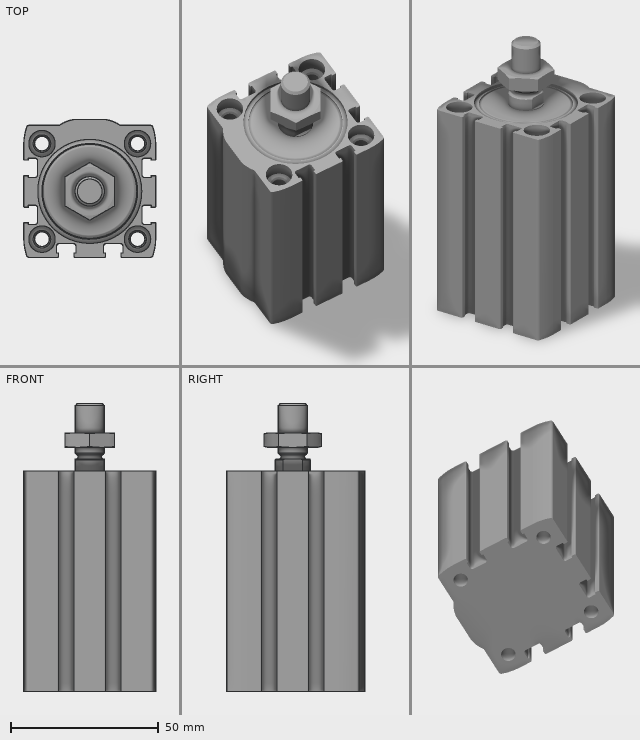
import cadquery as cq
import math

HOUSING_WIDTH = 45.0
HOUSING_HEIGHT = 75.0
HALF_WIDTH = HOUSING_WIDTH / 2
SIDE_FLAT_HALF = 15.6
SIDE_ARC_RADIUS = 20.0
CORNER_RADIUS = 1.0

HUMP_RISE = 2.0
HUMP_FLAT_HALF = 5.3
HUMP_BASE_HALF = 10.4
HUMP_BULGE = 0.3

SLOT_OFFSET = 8.0
SLOT_MOUTH_WIDTH = 5.2
SLOT_LIP_DEPTH = 1.6
SLOT_INNER_WIDTH = 6.5
SLOT_DEPTH = 4.7
SLOT_CORNER_RADIUS = 0.8
SLOT_EDGE_RADIUS = 0.4

HOLE_PITCH = 32.5
HOLE_DIAMETER = 4.92
COUNTERBORE_DIAMETER = 9.0
COUNTERBORE_DEPTH = 5.4
HOLE_CHAMFER_DIAMETER = 6.0

RECESS_DIAMETER = 35.4
RECESS_DEPTH = 1.2
LIP_DIAMETER = 32.6
COVER_DIAMETER = 32.0
COVER_DROP = 0.35
COVER_CHAMFER_WIDTH = 0.9
COVER_CHAMFER_HEIGHT = 0.6
COVER_EDGE_RADIUS = 0.5

ROD_DIAMETER = 12.0
ROD_FLATS = 10.0
ROD_SHOULDER = 4.1
ROD_CHAMFER = 0.3
NECK_DIAMETER = 8.1
NECK_LENGTH = 1.3
NECK_ROOT_RADIUS = 0.6
THREAD_DIAMETER = 10.0
THREAD_TIP_DIAMETER = 8.38
THREAD_RUNOUT_DIAMETER = 8.65
ROD_EXTENSION = 23.0
ROD_DEPTH = 20.0

NUT_SIDES = 6
NUT_FLATS = 17.0
NUT_HEIGHT = 5.0
NUT_TOP_GAP = 10.0
NUT_CHAMFER_DIAMETER = 16.6
NUT_CHAMFER_ANGLE = 13.0

TOP = HOUSING_HEIGHT


def housing_outline():
    side_drop = SIDE_ARC_RADIUS - math.sqrt(SIDE_ARC_RADIUS**2 - (HALF_WIDTH - SIDE_FLAT_HALF) ** 2)
    corner_x = HALF_WIDTH - side_drop

    half_angle = math.asin((HALF_WIDTH - SIDE_FLAT_HALF) / SIDE_ARC_RADIUS) / 2
    middle_x = HALF_WIDTH - SIDE_ARC_RADIUS * (1 - math.cos(half_angle))
    middle_y = SIDE_FLAT_HALF + SIDE_ARC_RADIUS * math.sin(half_angle)

    block = (
        cq.Workplane("XY")
        .moveTo(-corner_x, -HALF_WIDTH)
        .lineTo(corner_x, -HALF_WIDTH)
        .threePointArc((middle_x, -middle_y), (HALF_WIDTH, -SIDE_FLAT_HALF))
        .lineTo(HALF_WIDTH, SIDE_FLAT_HALF)
        .threePointArc((middle_x, middle_y), (corner_x, HALF_WIDTH))
        .lineTo(-corner_x, HALF_WIDTH)
        .threePointArc((-middle_x, middle_y), (-HALF_WIDTH, SIDE_FLAT_HALF))
        .lineTo(-HALF_WIDTH, -SIDE_FLAT_HALF)
        .threePointArc((-middle_x, -middle_y), (-corner_x, -HALF_WIDTH))
        .close()
        .extrude(HOUSING_HEIGHT)
    )
    return block.edges("|Z and (>Y or <Y)").fillet(CORNER_RADIUS)


def hump():
    hump_top = HALF_WIDTH + HUMP_RISE
    return (
        cq.Workplane("XY")
        .moveTo(-HUMP_BASE_HALF, HALF_WIDTH)
        .sagittaArc((-HUMP_FLAT_HALF, hump_top), HUMP_BULGE)
        .lineTo(HUMP_FLAT_HALF, hump_top)
        .sagittaArc((HUMP_BASE_HALF, HALF_WIDTH), HUMP_BULGE)
        .close()
        .extrude(HOUSING_HEIGHT)
    )


def slot(offset):
    """T-slot in the -Y side, at the given X offset."""
    floor_y = SLOT_DEPTH - HALF_WIDTH
    inner_length = SLOT_DEPTH - SLOT_LIP_DEPTH
    channel = (
        cq.Workplane("XY")
        .center(offset, floor_y - inner_length / 2)
        .rect(SLOT_INNER_WIDTH, inner_length)
        .extrude(HOUSING_HEIGHT)
        .edges("|Z and >Y")
        .fillet(SLOT_CORNER_RADIUS)
    )
    half_mouth = SLOT_MOUTH_WIDTH / 2
    edge = SLOT_EDGE_RADIUS
    mouth = (
        cq.Workplane("XY", origin=(offset, 0, 0))
        .moveTo(-half_mouth, floor_y)
        .lineTo(half_mouth, floor_y)
        .lineTo(half_mouth, edge - HALF_WIDTH)
        .radiusArc((half_mouth + edge, -HALF_WIDTH), -edge)
        .lineTo(-half_mouth - edge, -HALF_WIDTH)
        .radiusArc((-half_mouth, edge - HALF_WIDTH), -edge)
        .close()
        .extrude(HOUSING_HEIGHT)
    )
    return channel.union(mouth)


def mounting_hole():
    hole_radius = HOLE_DIAMETER / 2
    chamfer_radius = HOLE_CHAMFER_DIAMETER / 2
    seat = TOP - COUNTERBORE_DEPTH
    return (
        cq.Workplane("XZ")
        .polyline(
            [
                (0, 0),
                (hole_radius, 0),
                (hole_radius, seat - (chamfer_radius - hole_radius)),
                (chamfer_radius, seat),
                (COUNTERBORE_DIAMETER / 2, seat),
                (COUNTERBORE_DIAMETER / 2, TOP),
                (0, TOP),
            ]
        )
        .close()
        .revolve(360, (0, 0), (0, 1))
    )


def cover_recess():
    recess_radius = RECESS_DIAMETER / 2
    lip_radius = LIP_DIAMETER / 2
    cover_radius = COVER_DIAMETER / 2
    face = TOP - COVER_DROP
    groove_bottom = face - COVER_CHAMFER_HEIGHT
    pocket = (
        cq.Workplane("XZ")
        .polyline(
            [
                (0, groove_bottom),
                (cover_radius, groove_bottom),
                (cover_radius, face),
                (lip_radius, face),
                (recess_radius, TOP - RECESS_DEPTH),
                (recess_radius, TOP),
                (0, TOP),
            ]
        )
        .close()
        .revolve(360, (0, 0), (0, 1))
    )
    cover = (
        cq.Workplane("XY")
        .circle(cover_radius)
        .extrude(face)
        .edges(">Z")
        .chamfer(COVER_CHAMFER_HEIGHT, COVER_CHAMFER_WIDTH)
        .edges(">Z")
        .fillet(COVER_EDGE_RADIUS)
    )
    return pocket.cut(cover)


def make_housing():
    housing = housing_outline().union(hump())
    for side_angle in (-90, 0, 90):
        for offset in (-SLOT_OFFSET, SLOT_OFFSET):
            housing = housing.cut(slot(offset).rotate((0, 0, 0), (0, 0, 1), side_angle))
    hole = mounting_hole()
    for x in (-HOLE_PITCH / 2, HOLE_PITCH / 2):
        for y in (-HOLE_PITCH / 2, HOLE_PITCH / 2):
            housing = housing.cut(hole.translate((x, y, 0)))
    rod_bore = (
        cq.Workplane("XY", origin=(0, 0, TOP - ROD_DEPTH))
        .circle(ROD_DIAMETER / 2)
        .extrude(ROD_DEPTH)
    )
    return housing.cut(cover_recess()).cut(rod_bore)


def make_rod():
    rod_radius = ROD_DIAMETER / 2
    neck_radius = NECK_DIAMETER / 2
    runout_radius = THREAD_RUNOUT_DIAMETER / 2
    runout_fillet = runout_radius - neck_radius
    thread_radius = THREAD_DIAMETER / 2
    tip_chamfer = thread_radius - THREAD_TIP_DIAMETER / 2
    shoulder = TOP + ROD_SHOULDER
    neck_top = shoulder + NECK_LENGTH
    tip = TOP + ROD_EXTENSION
    rod = (
        cq.Workplane("XZ")
        .moveTo(0, TOP - ROD_DEPTH)
        .lineTo(rod_radius, TOP - ROD_DEPTH)
        .lineTo(rod_radius, shoulder - ROD_CHAMFER)
        .lineTo(rod_radius - ROD_CHAMFER, shoulder)
        .lineTo(neck_radius + NECK_ROOT_RADIUS, shoulder)
        .radiusArc((neck_radius, shoulder + NECK_ROOT_RADIUS), NECK_ROOT_RADIUS)
        .lineTo(neck_radius, neck_top - runout_fillet)
        .radiusArc((runout_radius, neck_top), runout_fillet)
        .lineTo(thread_radius, neck_top + thread_radius - runout_radius)
        .lineTo(thread_radius, tip - tip_chamfer)
        .lineTo(thread_radius - tip_chamfer, tip)
        .lineTo(0, tip)
        .close()
        .revolve(360, (0, 0), (0, 1))
    )
    flat_depth = (ROD_DIAMETER - ROD_FLATS) / 2
    for side in (-1, 1):
        flat_x = side * (ROD_FLATS + flat_depth) / 2
        waste = (
            cq.Workplane("XY", origin=(flat_x, 0, TOP))
            .rect(flat_depth, ROD_DIAMETER)
            .extrude(ROD_SHOULDER)
        )
        rod = rod.cut(waste)
    return rod


def make_nut():
    half_side_angle = 180 / NUT_SIDES
    corner_diameter = NUT_FLATS / math.cos(math.radians(half_side_angle))
    nut_bottom = TOP + ROD_EXTENSION - NUT_TOP_GAP - NUT_HEIGHT
    blank = (
        cq.Workplane("XY")
        .polygon(NUT_SIDES, corner_diameter)
        .extrude(NUT_HEIGHT)
        .rotate((0, 0, 0), (0, 0, 1), half_side_angle)
    )
    chamfer_width = (corner_diameter - NUT_CHAMFER_DIAMETER) / 2
    chamfer_height = chamfer_width * math.tan(math.radians(NUT_CHAMFER_ANGLE))
    envelope = (
        cq.Workplane("XY")
        .circle(corner_diameter / 2)
        .extrude(NUT_HEIGHT)
        .edges()
        .chamfer(chamfer_height, chamfer_width)
    )
    bore = cq.Workplane("XY").circle(THREAD_DIAMETER / 2).extrude(NUT_HEIGHT)
    return blank.intersect(envelope).cut(bore).translate((0, 0, nut_bottom))


housing = make_housing()
rod = make_rod()
nut = make_nut()

result = cq.Compound.makeCompound([housing.val(), rod.val(), nut.val()])